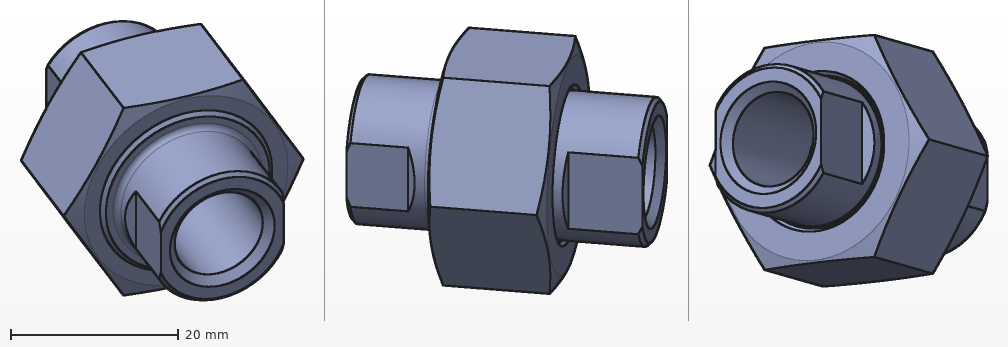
import cadquery as cq
import math

length = 36.0
bore_radius = 11.45 / 2
pipe_radius = 18.0 / 2
end_chamfer = 0.5
mouth_radius = 6.8
mouth_depth = 1.08

nut_left = 10.5
nut_width = 14.47
nut_right = nut_left + nut_width
nut_across_flats = 27.0
nut_across_corners = nut_across_flats / math.cos(math.radians(30))
nut_face_radius = 26.45 / 2
nut_corner_setback = 0.75
nut_hole_radius = 18.5 / 2
nut_hole_chamfer = 0.45
nut_lip = 2.52
nut_cavity_radius = 22.4 / 2

shoulder_left = nut_left + nut_lip
joint = nut_left + nut_width / 2

tail_flats = 15.0
tail_flat_length = 9.05
tail_flat_runout = 0.4
tail_step = nut_hole_radius - pipe_radius
tail_step_left = nut_left + nut_hole_chamfer

flange_overhang = 0.55
flange_right = nut_right + flange_overhang
flange_fillet = 0.72
body_flats = 16.0
body_flat_length = 7.52
body_flat_runout = pipe_radius - body_flats / 2


def revolve_about_x(profile):
    """Revolve a closed profile drawn as (X, radius) points around the X axis."""
    return profile.close().revolve(360, (0, 0, 0), (1, 0, 0))


def flat_cutters(across_flats, pipe_end, inward, flat_length, runout):
    """Two mirrored prisms that cut wrench flats with a sloped inner end."""
    half_width = across_flats / 2
    inner_end = pipe_end + inward * flat_length
    slope = inward * runout / (pipe_radius - half_width)
    clear_width = 2 * pipe_radius
    cutter = (
        cq.Workplane("XY")
        .moveTo(pipe_end, half_width)
        .lineTo(inner_end, half_width)
        .lineTo(inner_end + slope * (clear_width - half_width), clear_width)
        .lineTo(pipe_end, clear_width)
        .close()
        .extrude(pipe_radius, both=True)
    )
    return cutter.union(cutter.mirror("XZ"))


def make_tailpiece():
    profile = (
        cq.Workplane("XY")
        .moveTo(0, mouth_radius)
        .lineTo(0, pipe_radius - end_chamfer)
        .lineTo(end_chamfer, pipe_radius)
        .lineTo(tail_step_left, pipe_radius)
        .lineTo(tail_step_left + tail_step, nut_hole_radius)
        .lineTo(shoulder_left, nut_hole_radius)
        .lineTo(shoulder_left, nut_cavity_radius)
        .lineTo(joint, nut_cavity_radius)
        .lineTo(joint, bore_radius)
        .lineTo(mouth_depth, bore_radius)
    )
    flats = flat_cutters(tail_flats, 0, 1, tail_flat_length, tail_flat_runout)
    return revolve_about_x(profile).cut(flats)


def make_body():
    profile = (
        cq.Workplane("XY")
        .moveTo(joint, bore_radius)
        .lineTo(joint, nut_cavity_radius)
        .lineTo(nut_right, nut_cavity_radius)
        .lineTo(flange_right, nut_cavity_radius - flange_overhang)
        .lineTo(flange_right, pipe_radius + flange_fillet)
        .radiusArc((flange_right + flange_fillet, pipe_radius), -flange_fillet)
        .lineTo(length - end_chamfer, pipe_radius)
        .lineTo(length, pipe_radius - end_chamfer)
        .lineTo(length, mouth_radius)
        .lineTo(length - mouth_depth, bore_radius)
    )
    flats = flat_cutters(body_flats, length, -1, body_flat_length, body_flat_runout)
    return revolve_about_x(profile).cut(flats)


def make_nut():
    hexagon = (
        cq.Workplane("YZ", origin=(nut_left, 0, 0))
        .polygon(6, nut_across_corners)
        .extrude(nut_width)
    )
    corner_radius = nut_across_corners / 2
    envelope = (
        cq.Workplane("XY")
        .moveTo(nut_left, nut_hole_radius + nut_hole_chamfer)
        .lineTo(nut_left, nut_face_radius)
        .lineTo(nut_left + nut_corner_setback, corner_radius)
        .lineTo(nut_right - nut_corner_setback, corner_radius)
        .lineTo(nut_right, nut_face_radius)
        .lineTo(nut_right, nut_cavity_radius)
        .lineTo(shoulder_left, nut_cavity_radius)
        .lineTo(shoulder_left, nut_hole_radius)
        .lineTo(nut_left + nut_hole_chamfer, nut_hole_radius)
    )
    return hexagon.intersect(revolve_about_x(envelope))


tailpiece = make_tailpiece()
body = make_body()
nut = make_nut()

result = cq.Compound.makeCompound([tailpiece.val(), body.val(), nut.val()])